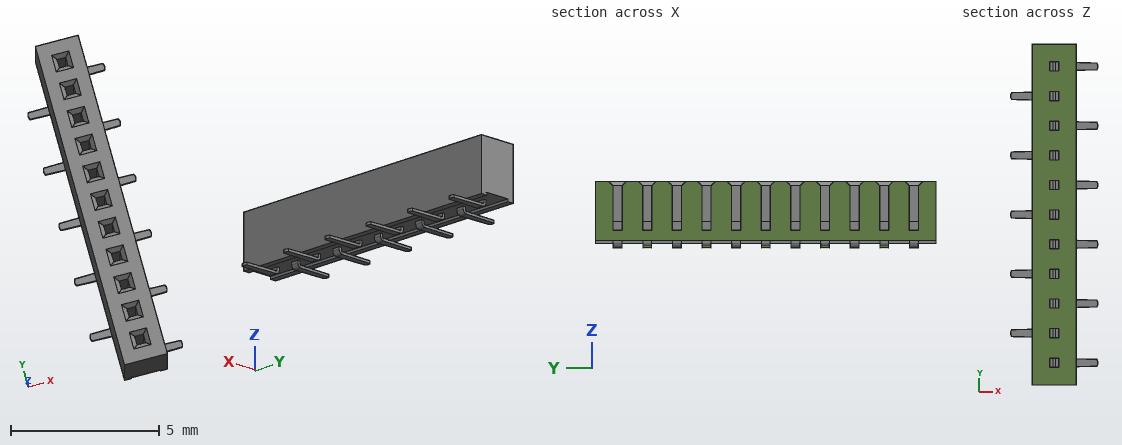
import cadquery as cq

pin_count = 11
pitch = 1.0
end_margin = 0.75
housing_width = 1.5
housing_length = (pin_count - 1) * pitch + 2 * end_margin
total_height = 2.25
tail_span = 2.95

strip_thickness = 0.1
strip_width = 0.3
tip_width = 0.24
inner_bend_radius = 0.05
outer_bend_radius = inner_bend_radius + strip_thickness
tip_bulge = 0.04

standoff = 0.15
channel_width = 1.0
channel_roof = 0.25

mouth_size = 0.6
throat_size = 0.3
funnel_depth = (mouth_size - throat_size) / 2
well_floor = 0.6
blade_top = 0.9


def contact_positions():
    """Y position and tail direction of each contact, from the -Y end."""
    first_y = -(pin_count - 1) * pitch / 2
    for index in range(pin_count):
        direction = 1 if index % 2 == 0 else -1
        yield first_y + index * pitch, direction


def make_housing():
    housing_height = total_height - standoff
    block = cq.Workplane("XY").workplane(offset=standoff)
    block = block.rect(housing_width, housing_length).extrude(housing_height)
    channel = cq.Workplane("XY").rect(channel_width, housing_length).extrude(channel_roof)
    return block.cut(channel)


def make_socket(y):
    funnel = (
        cq.Workplane("XY", origin=(0, y, total_height))
        .rect(mouth_size, mouth_size)
        .workplane(offset=-funnel_depth)
        .rect(throat_size, throat_size)
        .loft(ruled=True)
    )
    well_top = total_height - funnel_depth
    well = (
        cq.Workplane("XY", origin=(0, y, well_floor))
        .rect(throat_size, throat_size)
        .extrude(well_top - well_floor)
    )
    return funnel.union(well)


def make_contact(y, direction):
    """L-shaped strip: an upright blade at x = 0 bent into a tail along +X or -X."""
    half_thickness = strip_thickness / 2
    bend_center_x = half_thickness + inner_bend_radius
    half_width = strip_width / 2
    tail_end = tail_span / 2
    profile = (
        cq.Workplane("XZ")
        .moveTo(-half_thickness, blade_top)
        .lineTo(-half_thickness, outer_bend_radius)
        .radiusArc((bend_center_x, 0), -outer_bend_radius)
        .lineTo(tail_end, 0)
        .lineTo(tail_end, strip_thickness)
        .lineTo(bend_center_x, strip_thickness)
        .radiusArc((half_thickness, outer_bend_radius), inner_bend_radius)
        .lineTo(half_thickness, blade_top)
        .close()
        .extrude(half_width, both=True)
    )
    half_tip = tip_width / 2
    shoulder = tail_end - tip_bulge
    outline = (
        cq.Workplane("XY")
        .moveTo(-half_thickness, -half_width)
        .lineTo(bend_center_x, -half_width)
        .lineTo(shoulder, -half_tip)
        .threePointArc((tail_end, 0), (shoulder, half_tip))
        .lineTo(bend_center_x, half_width)
        .lineTo(-half_thickness, half_width)
        .close()
        .extrude(blade_top)
    )
    strip = profile.intersect(outline)
    if direction < 0:
        strip = strip.rotate((0, 0, 0), (0, 0, 1), 180)
    return strip.translate((0, y, 0))


result = make_housing()
for contact_y, _ in contact_positions():
    result = result.cut(make_socket(contact_y))
for contact_y, tail_direction in contact_positions():
    result = result.union(make_contact(contact_y, tail_direction))